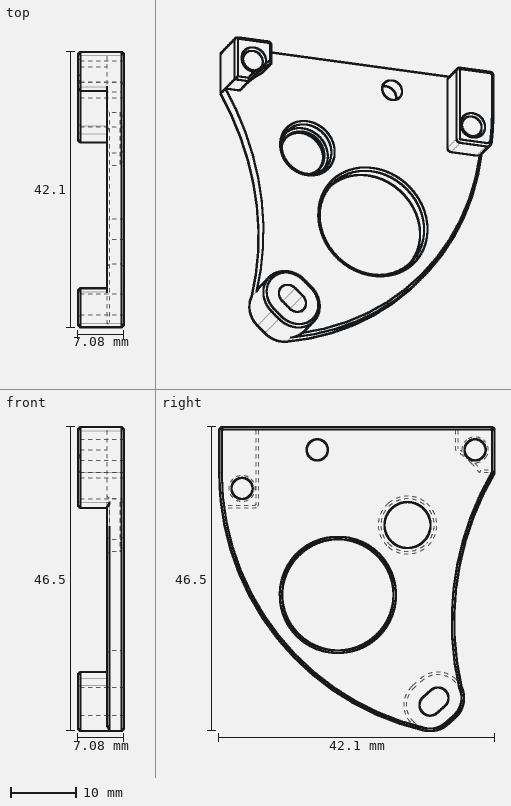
import cadquery as cq
import math

total_depth = 7.08
plate_width = 42.13
plate_height = 46.52
plate_thickness = 2.65
pad_height = total_depth - plate_thickness
edge_chamfer = 0.4
corner_radius = 0.6

pad_width = 6.0
narrow_pad_length = 7.0
long_pad_length = 12.4
long_pad_outer_radius = 1.0
pad_relief_radius = 13.6

boss_radius = 4.0
slot_width = 3.2
boss_low = (32.25, boss_radius - plate_height)
boss_high = (33.45, -41.45)

straight_edge_length = 7.0
waist_radius = 45.0
waist_end_angle = 25.0

screw_hole_diameter = 3.2
narrow_pad_hole = (plate_width - 3.0, -3.5)
middle_hole = (15.0, -3.5)
long_pad_hole = (3.5, -9.4)
bearing_hole = (28.8, -15.0)
bearing_bore_diameter = 7.0
bearing_seat_diameter = 8.1
bearing_seat_depth = 2.0
window = (18.15, -25.67)
window_diameter = 17.0

arc_drop = -straight_edge_length - boss_low[1]
sweep_radius = (boss_low[0] ** 2 + arc_drop ** 2 - boss_radius ** 2) / (2 * (boss_low[0] - boss_radius))
sweep_center = (sweep_radius, -straight_edge_length)

slot_angle = math.atan2(boss_high[1] - boss_low[1], boss_high[0] - boss_low[0])
pad_root = plate_thickness / 2


def polar(center, radius, angle):
    """Point at a radius and angle (radians, from +Y towards +Z) about a centre."""
    return (center[0] + radius * math.cos(angle), center[1] + radius * math.sin(angle))


def direction(start, end):
    return math.atan2(end[1] - start[1], end[0] - start[0])


def plane_at(x):
    """Workplane with local axes Y and Z, facing +X."""
    return cq.Workplane("YZ", origin=(x, 0, 0))


def cylinder(center, diameter, x_start, x_end):
    return plane_at(x_start).center(*center).circle(diameter / 2).extrude(x_end - x_start)


def through_hole(center, diameter):
    return cylinder(center, diameter, -pad_height, plate_thickness)


def cone_frustum(center, start_radius, end_radius, x_face, inward=1):
    """Frustum one edge chamfer deep, running along X from x_face."""
    start = cq.Vector(x_face, *center)
    along = cq.Vector(inward, 0, 0)
    return cq.Workplane(cq.Solid.makeCone(start_radius, end_radius, edge_chamfer, start, along))


def hole_chamfer(center, diameter, x_face, inward=1):
    """Cone that breaks the edge of a hole at x_face; inward is the X sign into the material."""
    radius = diameter / 2
    return cone_frustum(center, radius + edge_chamfer, radius, x_face, inward)


def fillet_corner(body, radius, y, z):
    """Round the X-direction edge closest to the given corner."""
    corner = cq.Vector(0, y, z)
    return body.edges("|X").edges(cq.selectors.NearestToPointSelector(corner)).fillet(radius)


def outline(x_start, x_end):
    """Full outline of the part, extruded between two X positions."""
    waist_angle = math.radians(waist_end_angle)
    flat_angle = slot_angle - math.pi / 2
    sweep_end_angle = direction(sweep_center, boss_low)
    sweep_mid_angle = (sweep_end_angle - math.pi) / 2
    return (
        plane_at(x_start)
        .moveTo(0, 0)
        .lineTo(plate_width, 0)
        .lineTo(plate_width, -narrow_pad_length)
        .radiusArc(polar(boss_high, boss_radius, waist_angle), -waist_radius)
        .threePointArc(
            polar(boss_high, boss_radius, (waist_angle + flat_angle) / 2),
            polar(boss_high, boss_radius, flat_angle),
        )
        .lineTo(*polar(boss_low, boss_radius, flat_angle))
        .threePointArc(
            polar(boss_low, boss_radius, (flat_angle + sweep_end_angle) / 2),
            polar(boss_low, boss_radius, sweep_end_angle),
        )
        .threePointArc(
            polar(sweep_center, sweep_radius, sweep_mid_angle),
            (0, -straight_edge_length),
        )
        .close()
        .extrude(x_end - x_start)
    )


def round_top_corners(body):
    body = fillet_corner(body, corner_radius, 0, 0)
    return fillet_corner(body, corner_radius, plate_width, 0)


def chamfer_front(body):
    return body.faces("<X").chamfer(edge_chamfer)


def sweep_chamfer():
    """Ring that breaks the plate's front edge along the large arc."""
    disc = cylinder(sweep_center, 2 * (sweep_radius + edge_chamfer), 0, edge_chamfer)
    return disc.cut(cone_frustum(sweep_center, sweep_radius - edge_chamfer, sweep_radius, 0))


def make_plate():
    """Plate with its whole back outline chamfered, and in front only the large arc."""
    plate = round_top_corners(outline(0, plate_thickness))
    plate = plate.faces(">X").chamfer(edge_chamfer)
    return plate.cut(sweep_chamfer())


def make_block(y_start, length):
    """Rectangular pad hanging from the top edge, trimmed to the outline of the part."""
    block = (
        plane_at(-pad_height)
        .moveTo(y_start, -length)
        .rect(pad_width, length, centered=False)
        .extrude(pad_height + pad_root)
    )
    return block.intersect(round_top_corners(outline(-pad_height, pad_root)))


def make_narrow_pad():
    inner_side = plate_width - pad_width
    pad = make_block(inner_side, narrow_pad_length)
    pad = fillet_corner(pad, corner_radius, inner_side, 0)
    pad = pad.cut(cylinder(bearing_hole, 2 * pad_relief_radius, -pad_height, pad_root))
    return chamfer_front(pad)


def make_long_pad():
    pad = make_block(0, long_pad_length)
    pad = fillet_corner(pad, corner_radius, pad_width, 0)
    pad = fillet_corner(pad, corner_radius, pad_width, -long_pad_length)
    pad = fillet_corner(pad, long_pad_outer_radius, 0, -long_pad_length)
    return chamfer_front(pad)


def obround(width, x_start, x_end):
    """Obround around the two boss centres."""
    center = ((boss_low[0] + boss_high[0]) / 2, (boss_low[1] + boss_high[1]) / 2)
    spacing = math.dist(boss_low, boss_high)
    return (
        plane_at(x_start)
        .center(*center)
        .slot2D(spacing + width, width, math.degrees(slot_angle))
        .extrude(x_end - x_start)
    )


def cut_holes(body):
    body = body.cut(obround(slot_width, -pad_height, plate_thickness))
    for center in (narrow_pad_hole, middle_hole, long_pad_hole):
        body = body.cut(through_hole(center, screw_hole_diameter))
    for center in (narrow_pad_hole, long_pad_hole):
        body = body.cut(hole_chamfer(center, screw_hole_diameter, -pad_height))

    body = body.cut(through_hole(bearing_hole, bearing_bore_diameter))
    body = body.cut(cylinder(bearing_hole, bearing_seat_diameter, 0, bearing_seat_depth))
    body = body.cut(hole_chamfer(bearing_hole, bearing_seat_diameter, 0))

    body = body.cut(through_hole(window, window_diameter))
    body = body.cut(hole_chamfer(window, window_diameter, 0))
    return body.cut(hole_chamfer(window, window_diameter, plate_thickness, inward=-1))


body = make_plate()
body = body.union(make_narrow_pad())
body = body.union(make_long_pad())
body = body.union(chamfer_front(obround(2 * boss_radius, -pad_height, pad_root)))
result = cut_holes(body)